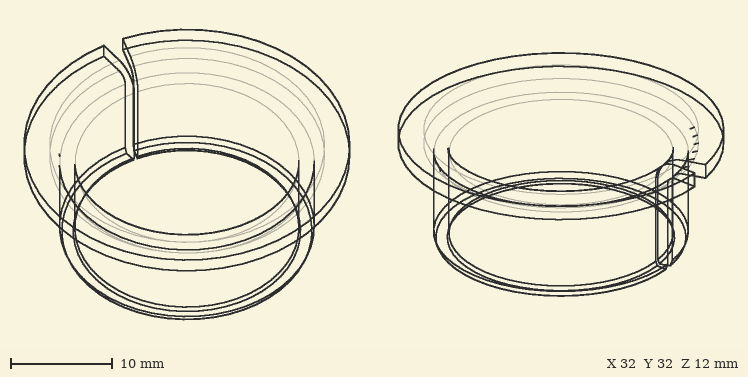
import cadquery as cq
import math

flange_radius = 16.0
height = 12.0
wall = 1.5
bore_radius = 11.0
sleeve_radius = bore_radius + wall

outer_bend = 1.0
inner_bend = outer_bend + wall
bend_center_r = sleeve_radius + outer_bend
bend_center_z = height - inner_bend
flange_bottom = height - wall

chamfer_height = 0.65
chamfer_width = 0.22

bore_chamfer_height = 0.45
bore_chamfer_width = 0.15

split_half_width_bore = 0.2
split_half_angle = 9.6


def bend_mid(radius):
    """Midpoint of a bend arc, as (radial position, height)."""
    offset = radius * math.sqrt(0.5)
    return (bend_center_r - offset, bend_center_z + offset)


def flanged_sleeve():
    """Revolve the bent wall section about the Z axis."""
    section = (
        cq.Workplane("XZ")
        .moveTo(bore_radius + bore_chamfer_width, 0)
        .lineTo(sleeve_radius - chamfer_width, 0)
        .lineTo(sleeve_radius, chamfer_height)
        .lineTo(sleeve_radius, bend_center_z)
        .threePointArc(bend_mid(outer_bend), (bend_center_r, flange_bottom))
        .lineTo(flange_radius, flange_bottom)
        .lineTo(flange_radius, height)
        .lineTo(bend_center_r, height)
        .threePointArc(bend_mid(inner_bend), (bore_radius, bend_center_z))
        .lineTo(bore_radius, bore_chamfer_height)
        .close()
    )
    sleeve = section.revolve(360, (0, 0, 0), (0, 1, 0))
    return sleeve.rotate((0, 0, 0), (0, 0, 1), 180)


def split_wedge():
    """Full-height wedge that opens outward from inside the bore."""
    slope = math.tan(math.radians(split_half_angle))
    apex_x = -(bore_radius - split_half_width_bore / slope)
    end_x = -1.2 * flange_radius
    end_half_width = (apex_x - end_x) * slope
    return (
        cq.Workplane("XY")
        .polyline([(apex_x, 0), (end_x, end_half_width), (end_x, -end_half_width)])
        .close()
        .extrude(height)
    )


result = flanged_sleeve().cut(split_wedge())